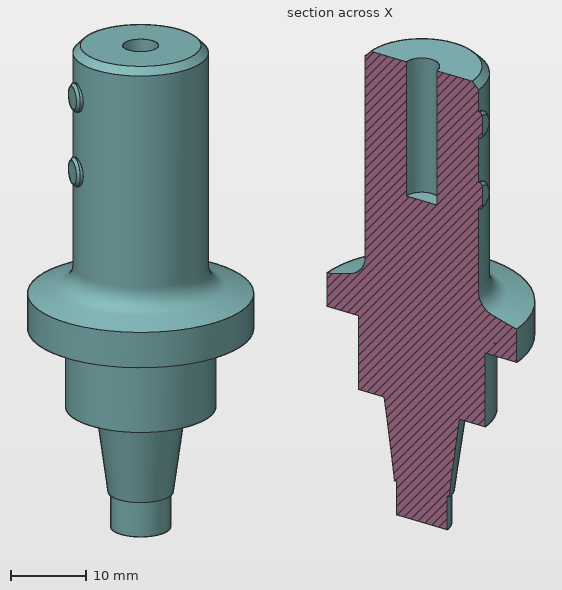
import cadquery as cq
import math

tip_top = 5.0
taper_top = 17.0
collar_top = 28.0
flange_rim_top = 33.0
overall_height = 68.0

tip_diameter = 8.0
taper_small_diameter = 8.7
taper_large_diameter = 12.0
collar_diameter = 20.0
flange_diameter = 30.0
shaft_diameter = 18.0

shaft_chamfer = 1.0
flange_slope = math.radians(15)
root_fillet_radius = 3.0

bore_diameter = 4.76
bore_depth = 20.0

pin_diameter = 4.0
pin_chamfer = 0.4
pin_projection = 0.6
pin_embedment = 2.0
first_pin_depth = 6.25
pin_spacing = 10.5
pin_count = 2


def turned_body():
    """Revolve the stepped half profile, drawn as (radius, height), about Z."""
    shaft_radius = shaft_diameter / 2
    flange_radius = flange_diameter / 2

    fillet_center_radius = shaft_radius + root_fillet_radius
    slope_end_radius = fillet_center_radius - root_fillet_radius * math.sin(flange_slope)
    slope_end_height = flange_rim_top + (flange_radius - slope_end_radius) * math.tan(flange_slope)
    fillet_center_height = slope_end_height + root_fillet_radius * math.cos(flange_slope)
    middle_angle = (math.pi / 2 - flange_slope) / 2
    fillet_middle = (
        fillet_center_radius - root_fillet_radius * math.cos(middle_angle),
        fillet_center_height - root_fillet_radius * math.sin(middle_angle),
    )

    profile = (
        cq.Workplane("XZ")
        .moveTo(0, 0)
        .lineTo(tip_diameter / 2, 0)
        .lineTo(tip_diameter / 2, tip_top)
        .lineTo(taper_small_diameter / 2, tip_top)
        .lineTo(taper_large_diameter / 2, taper_top)
        .lineTo(collar_diameter / 2, taper_top)
        .lineTo(collar_diameter / 2, collar_top)
        .lineTo(flange_radius, collar_top)
        .lineTo(flange_radius, flange_rim_top)
        .lineTo(slope_end_radius, slope_end_height)
        .threePointArc(fillet_middle, (shaft_radius, fillet_center_height))
        .lineTo(shaft_radius, overall_height - shaft_chamfer)
        .lineTo(shaft_radius - shaft_chamfer, overall_height)
        .lineTo(0, overall_height)
        .close()
    )
    return profile.revolve(360, (0, 0, 0), (0, 1, 0))


def bore():
    """Cylinder removed from the upper end."""
    return (
        cq.Workplane("XY", origin=(0, 0, overall_height - bore_depth))
        .circle(bore_diameter / 2)
        .extrude(bore_depth)
    )


def pin(height):
    """Chamfered pin along -Y, partly sunk into the shaft wall."""
    pin_root = -shaft_diameter / 2 + pin_embedment
    return (
        cq.Workplane("XZ", origin=(0, pin_root, height))
        .circle(pin_diameter / 2)
        .extrude(pin_embedment + pin_projection)
        .faces("<Y")
        .chamfer(pin_chamfer)
    )


result = turned_body().cut(bore())
for index in range(pin_count):
    pin_height = overall_height - first_pin_depth - index * pin_spacing
    result = result.union(pin(pin_height))